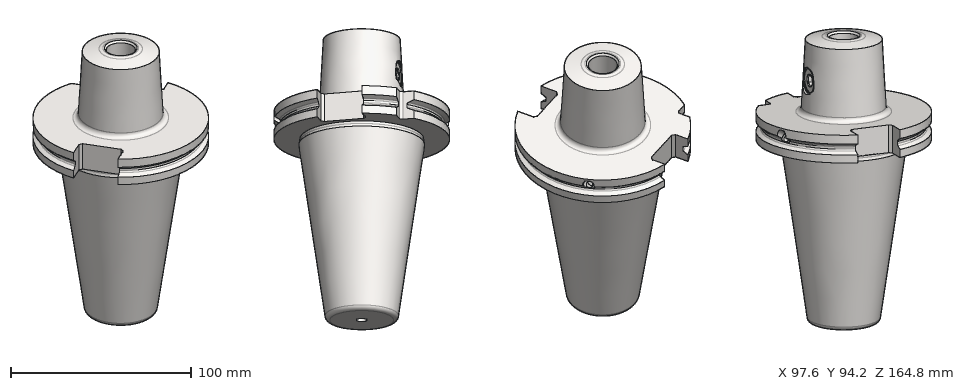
import cadquery as cq
import math


total_height = 164.8
gauge_height = 101.8
neck_height = 103.5
flange_bottom = 105.0
flange_top = 121.0
rim_height = 164.3
shoulder_height = 162.6

gauge_radius = 35.0
taper_ratio = 7 / 24
tail_fillet = 2.8
neck_radius = 34.5

flange_radius = 48.8
groove_floor_radius = 45.6
groove_mid_height = 112.7
groove_mouth_width = 6.3
groove_wall_angle = 30.0
groove_floor_fillet = 1.2

nose_base_radius = 23.5
nose_top_radius = 21.4
nose_fillet = 3.0
rim_outer_radius = 12.0
rim_top_radius = 9.9

bore_radius = 8.0
bore_depth = 49.5
bore_mouth_radius = 9.0
bore_mouth_depth = 1.2
coolant_radius = 3.0

key_width = 25.7
key_floor_front = 35.5
key_floor_back = 37.5
key_corner_chamfer = 1.6
notch_offset = 30.3
notch_fillet = 1.5

screw_height = 141.0
screw_radius = 6.8
screw_seat_radius = 7.5
screw_seat_x = -21.4
screw_face_x = -20.8
screw_tip_x = -6.3
screw_tip_radius = 5.3
screw_tip_chamfer = 0.8
screw_tip_root = 1.6
socket_flats = 6.0
socket_turn = 30.0
socket_depth = 5.0
socket_point_depth = 1.6
socket_mouth_radius = 3.6
socket_mouth_depth = 0.7

outlet_angle = 200.5
outlet_tilt = 27.0
outlet_floor_distance = 44.8
outlet_floor_height = 114.2
outlet_radius = 3.3
outlet_bore_radius = 1.8
outlet_bore_depth = 6.6
outlet_reach = 9.9


def revolve_profile(points):
    """Turn a closed (radius, height) outline about the Z axis."""
    return cq.Workplane("XZ").polyline(points).close().revolve(360, (0, 0, 0), (0, 1, 0))


def make_shank():
    tail_radius = gauge_radius - gauge_height * taper_ratio / 2
    shank = revolve_profile([
        (0, 0),
        (tail_radius, 0),
        (gauge_radius, gauge_height),
        (neck_radius, neck_height),
        (neck_radius, flange_bottom),
        (0, flange_bottom),
    ])
    return shank.faces("<Z").edges().fillet(tail_fillet)


def make_groove():
    depth = flange_radius - groove_floor_radius
    half_mouth = groove_mouth_width / 2
    half_floor = half_mouth - depth * math.tan(math.radians(groove_wall_angle))
    groove = revolve_profile([
        (flange_radius, groove_mid_height - half_mouth),
        (groove_floor_radius, groove_mid_height - half_floor),
        (groove_floor_radius, groove_mid_height + half_floor),
        (flange_radius, groove_mid_height + half_mouth),
    ])
    floor_edges = cq.selectors.RadiusNthSelector(0)
    return groove.edges("%CIRCLE").edges(floor_edges).fillet(groove_floor_fillet)


def make_key_slot(floor_distance, side):
    """Drive-key slot through the flange rim, on the +Y (side = 1) or -Y (side = -1) edge."""
    length = flange_radius
    slot = (
        cq.Workplane("XY", origin=(0, side * (floor_distance + length / 2), flange_bottom))
        .rect(key_width, length)
        .extrude(flange_top - flange_bottom)
    )
    inner_face = "<Y" if side > 0 else ">Y"
    return slot.faces(inner_face).edges("|Z").chamfer(key_corner_chamfer)


def make_notch():
    notch = (
        cq.Workplane("XY", origin=(-notch_offset, notch_offset, flange_bottom))
        .rect(-flange_radius, flange_radius, centered=False)
        .extrude(flange_top - flange_bottom)
    )
    return notch.edges("|Z and >X and <Y").fillet(notch_fillet)


def make_flange():
    height = flange_top - flange_bottom
    flange = cq.Workplane("XY", origin=(0, 0, flange_bottom)).circle(flange_radius).extrude(height)
    flange = flange.cut(make_groove())
    flange = flange.cut(make_key_slot(key_floor_back, 1))
    flange = flange.cut(make_key_slot(key_floor_front, -1))
    return flange.cut(make_notch())


def make_nose():
    fillet_top = flange_top + nose_fillet
    foot_radius = nose_base_radius + nose_fillet
    diagonal = nose_fillet * math.sqrt(0.5)
    fillet_middle = (foot_radius - diagonal, fillet_top - diagonal)
    return (
        cq.Workplane("XZ")
        .moveTo(0, flange_bottom)
        .lineTo(foot_radius, flange_bottom)
        .lineTo(foot_radius, flange_top)
        .threePointArc(fillet_middle, (nose_base_radius, fillet_top))
        .lineTo(nose_top_radius, shoulder_height)
        .lineTo(rim_outer_radius, rim_height)
        .lineTo(rim_top_radius, total_height)
        .lineTo(0, total_height)
        .close()
        .revolve(360, (0, 0, 0), (0, 1, 0))
    )


def make_bore():
    """Tool bore with a chamfered mouth, plus the coolant passage down to the tail."""
    floor_height = total_height - bore_depth
    return revolve_profile([
        (0, 0),
        (coolant_radius, 0),
        (coolant_radius, floor_height),
        (bore_radius, floor_height),
        (bore_radius, total_height - bore_mouth_depth),
        (bore_mouth_radius, total_height),
        (0, total_height),
    ])


def screw_plane(x):
    """Plane across the clamping screw at the given X, facing the bore."""
    return cq.Workplane("YZ", origin=(x, 0, screw_height))


def make_screw_recess():
    mouth_x = -nose_base_radius
    seat = screw_plane(mouth_x).circle(screw_seat_radius).extrude(screw_seat_x - mouth_x)
    face = screw_plane(mouth_x).circle(screw_radius).extrude(screw_face_x - mouth_x)
    corner_diameter = socket_flats / math.cos(math.pi / 6)
    socket = screw_plane(screw_face_x).transformed(rotate=(0, 0, socket_turn))
    socket = socket.polygon(6, corner_diameter).extrude(socket_depth)
    drill_point = cq.Solid.makeCone(
        socket_flats / 2,
        0,
        socket_point_depth,
        pnt=cq.Vector(screw_face_x + socket_depth, 0, screw_height),
        dir=cq.Vector(1, 0, 0),
    )
    mouth = screw_plane(screw_face_x).circle(socket_mouth_radius)
    mouth = mouth.workplane(offset=socket_mouth_depth).circle(socket_flats / 2).loft()
    return seat.union(face).union(socket).union(mouth).union(cq.Workplane(drill_point))


def make_screw_tip():
    """End of the clamping screw standing into the bore."""
    root_x = -bore_radius - screw_tip_root
    tip = screw_plane(root_x).circle(screw_tip_radius).extrude(screw_tip_x - root_x)
    return tip.faces(">X").chamfer(screw_tip_chamfer)


def make_outlet(angle):
    """Stepped hole that slopes down and inward from the upper groove wall."""
    tilt = math.radians(outlet_tilt)
    floor_plane = cq.Plane(
        origin=(outlet_floor_distance, 0, outlet_floor_height),
        xDir=(0, 1, 0),
        normal=(math.cos(tilt), 0, math.sin(tilt)),
    )
    outlet = cq.Workplane(floor_plane).circle(outlet_radius).extrude(outlet_reach)
    inner = cq.Workplane(floor_plane).circle(outlet_bore_radius).extrude(-outlet_bore_depth)
    return outlet.union(inner).rotate((0, 0, 0), (0, 0, 1), angle)


holder = make_shank().union(make_flange()).union(make_nose())
holder = holder.cut(make_bore()).union(make_screw_tip()).cut(make_screw_recess())
for half_turn in (0, 180):
    holder = holder.cut(make_outlet(outlet_angle + half_turn))

result = holder